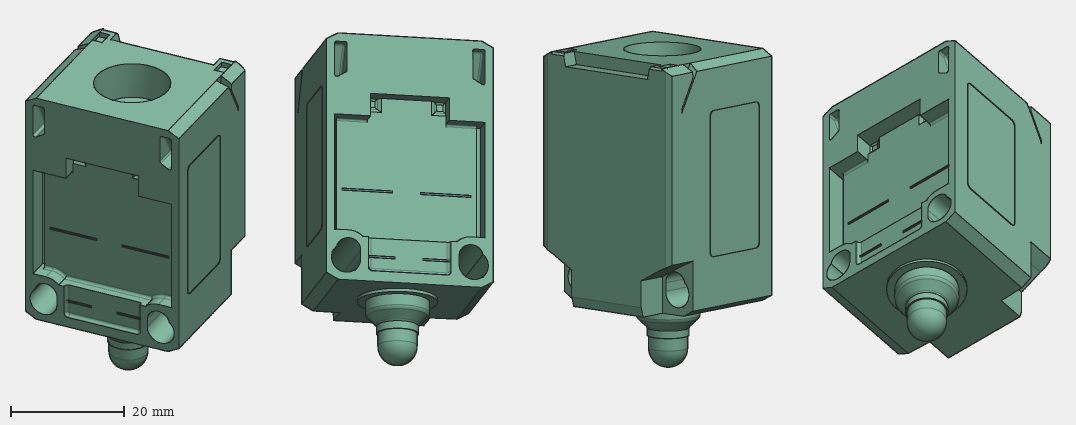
import cadquery as cq
import math


height = 45.0
depth = 27.0
overall_width = 30.2
pad_raise = 0.1
width = overall_width - 2 * pad_raise
half_width = width / 2
side_chamfer_x = 2.1
side_chamfer_z = 1.15
rear_corner_x = 1.25
rear_corner_y = 0.4
rear_top_chamfer_y = 0.4
rear_top_chamfer_z = 0.4
rear_foot_chamfer_y = 0.5
rear_foot_chamfer_z = 1.75

pad_length_y = 13.05
pad_height_z = 26.1
pad_center_y = 10.0
pad_bottom_z = 10.15
pad_corner = 0.9

conduit_y = 12.1
conduit_mouth_radius = 6.8
conduit_floor_radius = 6.2
conduit_depth = 6.5

hole_inner_x = 8.85
hole_low_radius = 2.6
hole_low_z = 4
hole_high_radius = 2.15
hole_high_z = 5.55
hole_high_x = hole_inner_x + hole_high_radius

recess_depth = 2.85
recess_half_width = 13.5
recess_top_z = 30.15
recess_shoulder_z = 9.1
recess_bottom_z = 8.1
tab_half_width = 7.05
tab_top_z = 34.25
boss_radius = recess_shoulder_z - hole_high_z
boss_end_x = hole_high_x - math.sqrt(boss_radius**2 - (recess_bottom_z - hole_high_z) ** 2)
recess_floor_round = 0.5
recess_shoulder_round = 0.4
channel_width = 0.9
channel_wall_depth = 0.95
channel_depth = 1.2

socket_size = 2.55
socket_well_size = 1.95
socket_floor_size = 1.15
socket_bevel_depth = 0.5
socket_well_depth = 0.2

panel_half_width = 7.4
panel_bottom_z = 1.95
panel_depth = 0.8
panel_corner_round = 0.7
panel_floor_round = 0.55

line_thickness = 0.35
line_depth = 0.15
line_gap_half = 2.5
recess_line_end_x = 11.55
recess_line_z = 17.3
panel_line_z = 4.75

slot_outer_x = 13.5
slot_inner_x = 11.3
slot_top_z = 43.45
slot_outer_bottom_z = 36.7
slot_inner_bottom_z = 38.1
slot_round = 0.4
slot_top_depth = 1.7
slot_bottom_depth = 5.7

notch_outer_z = 10.1
notch_kink_x = 12.3
notch_kink_z = 8.85
notch_inner_x = 8.1
notch_inner_z = 6.55
notch_outer_y = 5.9
notch_inner_y = 5.7

step_half_width = 10.1
step_floor_half_width = 9.5
step_length_y = 2.9
step_drop = 2.3

top_pocket_inner_x = 10.95
top_pocket_outer_x = half_width - side_chamfer_x
top_pocket_front_y = 22.5
top_pocket_rear_y = 25.55
top_pocket_crest_y = 24.55
top_pocket_crest_depth = 0.7
top_pocket_floor_radius = 2.1

groove_front_y = 19.4
groove_rear_y = 21.25
groove_tip_y = 24.05
groove_tip_z = 36.95
groove_tip_height = 0.7
groove_bend_y = 21.1
groove_bend_z = 42.75

actuator_y = 10.55
flange_radius = 7.05
flange_height = 0.55
boot_radius = 5.65
boot_shoulder_z = -2.95
boot_shoulder_round = 0.9
boot_cone_bottom_z = -4.7
boot_cone_bottom_radius = 3.9
boot_neck_start_z = -4.95
boot_neck_radius = 3.7
boot_neck_end_z = -6.3
plunger_radius = 3.5
actuator_height = 12.0


def front_prism(outline, start_y, length):
    """Extrude a closed XZ outline towards +Y from start_y."""
    return outline.extrude(-length).translate((0, start_y, 0))


def box_between(x0, x1, y0, y1, z0, z1):
    return cq.Workplane("XY").box(x1 - x0, y1 - y0, z1 - z0, centered=False).translate((x0, y0, z0))


def both_sides(right_half):
    return right_half.union(right_half.mirror("YZ"))


def block():
    front_outline = cq.Workplane("XZ").polyline([
        (-half_width, side_chamfer_z),
        (-half_width + side_chamfer_x, 0),
        (half_width - side_chamfer_x, 0),
        (half_width, side_chamfer_z),
        (half_width, height - side_chamfer_z),
        (half_width - side_chamfer_x, height),
        (-half_width + side_chamfer_x, height),
        (-half_width, height - side_chamfer_z),
    ]).close()
    side_outline = cq.Workplane("YZ").polyline([
        (0, 0),
        (depth - rear_foot_chamfer_y, 0),
        (depth, rear_foot_chamfer_z),
        (depth, height),
        (0, height),
    ]).close()
    top_outline = cq.Workplane("XY").polyline([
        (-half_width, 0),
        (half_width, 0),
        (half_width, depth - rear_corner_y),
        (half_width - rear_corner_x, depth),
        (-half_width + rear_corner_x, depth),
        (-half_width, depth - rear_corner_y),
    ]).close()
    body = front_prism(front_outline, 0, depth)
    body = body.intersect(side_outline.extrude(half_width, both=True))
    return body.intersect(top_outline.extrude(height))


def side_pads():
    pads = (
        cq.Workplane("XY")
        .box(overall_width, pad_length_y, pad_height_z)
        .edges("|X")
        .fillet(pad_corner)
    )
    return pads.translate((0, pad_center_y, pad_bottom_z + pad_height_z / 2))


def conduit_opening():
    return (
        cq.Workplane("XY", origin=(0, conduit_y, height - conduit_depth))
        .circle(conduit_floor_radius)
        .workplane(offset=conduit_depth)
        .circle(conduit_mouth_radius)
        .loft()
    )


def mounting_holes():
    low = cq.Workplane("XZ").center(hole_inner_x + hole_low_radius, hole_low_z).circle(hole_low_radius)
    high = cq.Workplane("XZ").center(hole_high_x, hole_high_z).circle(hole_high_radius)
    link = box_between(hole_inner_x, hole_high_x, 0, depth, hole_low_z, hole_high_z)
    return both_sides(front_prism(low, 0, depth).union(front_prism(high, 0, depth)).union(link))


def front_recess():
    arc_middle_angle = (math.pi / 2 + math.atan2(recess_bottom_z - hole_high_z, boss_end_x - hole_high_x)) / 2
    arc_x = hole_high_x + boss_radius * math.cos(arc_middle_angle)
    arc_z = hole_high_z + boss_radius * math.sin(arc_middle_angle)
    outline = (
        cq.Workplane("XZ")
        .moveTo(-boss_end_x, recess_bottom_z)
        .lineTo(boss_end_x, recess_bottom_z)
        .threePointArc((arc_x, arc_z), (hole_high_x, recess_shoulder_z))
        .lineTo(recess_half_width, recess_shoulder_z)
        .lineTo(recess_half_width, recess_top_z)
        .lineTo(tab_half_width, recess_top_z)
        .lineTo(tab_half_width, tab_top_z)
        .lineTo(-tab_half_width, tab_top_z)
        .lineTo(-tab_half_width, recess_top_z)
        .lineTo(-recess_half_width, recess_top_z)
        .lineTo(-recess_half_width, recess_shoulder_z)
        .lineTo(-hole_high_x, recess_shoulder_z)
        .threePointArc((-arc_x, arc_z), (-boss_end_x, recess_bottom_z))
        .close()
    )
    floor_foot = cq.selectors.BoxSelector(
        (-recess_half_width - 0.55, recess_depth - 0.05, recess_bottom_z - 0.55),
        (recess_half_width + 0.55, recess_depth + 0.05, recess_shoulder_z + 0.55),
    )
    floor_shoulders = cq.selectors.BoxSelector(
        (-recess_half_width - 0.55, recess_depth - 0.05, recess_top_z - 0.05),
        (recess_half_width + 0.55, recess_depth + 0.05, recess_top_z + 0.05),
    )
    recess = front_prism(outline, 0, recess_depth)
    recess = recess.edges(floor_foot).fillet(recess_floor_round)
    return recess.edges(floor_shoulders).fillet(recess_shoulder_round)


def side_channels():
    inner_x = recess_half_width - channel_width
    wall_end_y = recess_depth + channel_wall_depth
    outline = (
        cq.Workplane("XY", origin=(0, 0, recess_shoulder_z))
        .moveTo(inner_x, recess_depth / 2)
        .lineTo(inner_x, wall_end_y)
        .threePointArc(
            (recess_half_width - channel_width / 2, recess_depth + channel_depth),
            (recess_half_width, wall_end_y),
        )
        .lineTo(recess_half_width, recess_depth / 2)
        .close()
    )
    return both_sides(outline.extrude(recess_top_z - recess_shoulder_z))


def square_taper(near_center, near_size, far_center, far_size, start_y, length):
    """Taper between two squares, given by their (x, z) centres and sizes."""
    return (
        cq.Workplane("XZ", origin=(0, start_y, 0))
        .center(*near_center)
        .rect(near_size, near_size)
        .workplane(offset=-length)
        .center(far_center[0] - near_center[0], far_center[1] - near_center[1])
        .rect(far_size, far_size)
        .loft()
    )


def corner_sockets():
    mouth_center = (tab_half_width - socket_size / 2, tab_top_z - socket_size / 2)
    well_center = (tab_half_width - socket_well_size / 2, tab_top_z - socket_well_size / 2)
    well_y = recess_depth + socket_bevel_depth
    bevel = square_taper(
        mouth_center, socket_size, well_center, socket_well_size, recess_depth, socket_bevel_depth
    )
    well = square_taper(
        well_center, socket_well_size, well_center, socket_floor_size, well_y, socket_well_depth
    )
    return both_sides(bevel.union(well))


def lower_panel():
    panel = box_between(
        -panel_half_width, panel_half_width, 0, panel_depth, panel_bottom_z, recess_bottom_z
    )
    panel = panel.edges("|Y and <Z").fillet(panel_corner_round)
    foot_and_sides = panel.faces(">Y").edges("not >Z")
    return foot_and_sides.fillet(panel_floor_round)


def engraved_line(z, floor_y, end_x):
    line = box_between(
        line_gap_half, end_x, floor_y, floor_y + line_depth, z - line_thickness / 2, z + line_thickness / 2
    )
    return both_sides(line)


def corner_slots():
    outline = cq.Workplane("XZ").polyline([
        (slot_outer_x, slot_top_z),
        (slot_inner_x, slot_top_z),
        (slot_inner_x, slot_inner_bottom_z),
        (slot_outer_x, slot_outer_bottom_z),
    ]).close()
    shaft = front_prism(outline, 0, slot_bottom_depth)
    profile = cq.Workplane("YZ").polyline([
        (0, slot_top_z),
        (slot_top_depth, slot_top_z),
        (slot_bottom_depth, slot_outer_bottom_z),
        (0, slot_outer_bottom_z),
    ]).close()
    slot = shaft.intersect(profile.extrude(half_width))
    return both_sides(slot.edges("not <Y").fillet(slot_round))


def rear_notches():
    front_outline = cq.Workplane("XZ").polyline([
        (half_width, 0),
        (half_width, notch_outer_z),
        (notch_kink_x, notch_kink_z),
        (notch_inner_x, notch_inner_z),
        (notch_inner_x, 0),
    ]).close()
    top_outline = cq.Workplane("XY").polyline([
        (half_width, depth),
        (half_width, depth - notch_outer_y),
        (notch_inner_x, depth - notch_inner_y),
        (notch_inner_x, depth),
    ]).close()
    notch = front_prism(front_outline, 0, depth).intersect(top_outline.extrude(height))
    return both_sides(notch)


def rear_top_chamfer():
    profile = cq.Workplane("YZ").polyline([
        (depth - rear_top_chamfer_y, height),
        (depth, height),
        (depth, height - rear_top_chamfer_z),
    ]).close()
    return profile.extrude(half_width - side_chamfer_x, both=True)


def rear_step():
    outline = cq.Workplane("XZ").polyline([
        (-step_half_width, height),
        (-step_floor_half_width, height - step_drop),
        (step_floor_half_width, height - step_drop),
        (step_half_width, height),
    ]).close()
    return front_prism(outline, depth - step_length_y, step_length_y)


def top_pockets():
    crest_z = height - top_pocket_crest_depth
    axis_z = crest_z - top_pocket_floor_radius
    pocket = box_between(
        top_pocket_inner_x, top_pocket_outer_x, top_pocket_front_y, top_pocket_rear_y, axis_z, height
    )
    floor = (
        cq.Workplane("YZ", origin=(top_pocket_inner_x, 0, 0))
        .center(top_pocket_crest_y, axis_z)
        .circle(top_pocket_floor_radius)
        .extrude(top_pocket_outer_x - top_pocket_inner_x)
    )
    return both_sides(pocket.cut(floor))


def side_grooves():
    outline = cq.Workplane("YZ", origin=(half_width - side_chamfer_x, 0, 0)).polyline([
        (groove_front_y, height),
        (groove_tip_y, groove_tip_z),
        (groove_tip_y, groove_tip_z + groove_tip_height),
        (groove_bend_y, groove_bend_z),
        (groove_rear_y, height),
    ]).close()
    return both_sides(outline.extrude(side_chamfer_x))


def make_housing():
    housing = block().union(side_pads())
    cuts = [
        conduit_opening(),
        mounting_holes(),
        front_recess(),
        side_channels(),
        corner_sockets(),
        lower_panel(),
        engraved_line(recess_line_z, recess_depth, recess_line_end_x),
        engraved_line(panel_line_z, panel_depth, panel_half_width),
        corner_slots(),
        rear_notches(),
        rear_top_chamfer(),
        rear_step(),
        top_pockets(),
        side_grooves(),
    ]
    for cut in cuts:
        housing = housing.cut(cut)
    return housing


def make_actuator():
    """Flange, boot and domed plunger, turned about a vertical axis."""
    dome_center_z = plunger_radius - actuator_height
    dome_middle = plunger_radius * math.sqrt(0.5)
    profile = (
        cq.Workplane("XZ")
        .moveTo(0, 0)
        .lineTo(flange_radius, 0)
        .lineTo(flange_radius, -flange_height)
        .lineTo(boot_radius, -flange_height)
        .lineTo(boot_radius, boot_shoulder_z)
        .lineTo(boot_cone_bottom_radius, boot_cone_bottom_z)
        .lineTo(boot_neck_radius, boot_neck_start_z)
        .lineTo(boot_neck_radius, boot_neck_end_z)
        .lineTo(plunger_radius, boot_neck_end_z)
        .lineTo(plunger_radius, dome_center_z)
        .threePointArc((dome_middle, dome_center_z - dome_middle), (0, -actuator_height))
        .close()
    )
    actuator = profile.revolve(360, (0, 0, 0), (0, 1, 0))
    shoulder = cq.selectors.BoxSelector(
        (-boot_radius - 0.55, -boot_radius - 0.55, boot_shoulder_z - 0.05),
        (boot_radius + 0.55, boot_radius + 0.55, boot_shoulder_z + 0.05),
        boundingbox=True,
    )
    return actuator.edges(shoulder).fillet(boot_shoulder_round).translate((0, actuator_y, 0))


housing = make_housing()
actuator = make_actuator()

result = cq.Compound.makeCompound([housing.val(), actuator.val()])